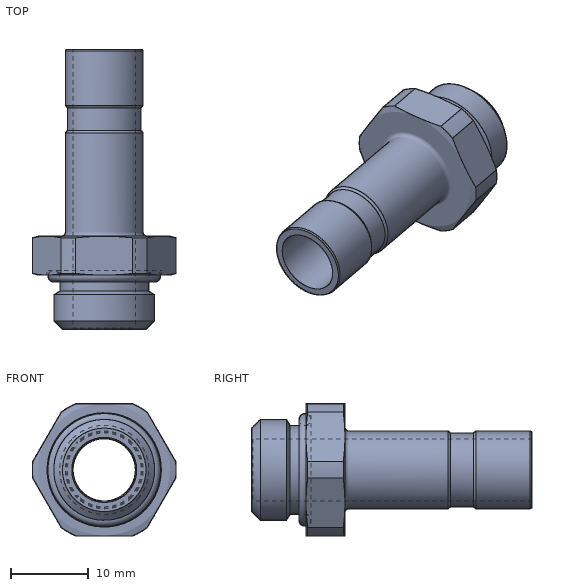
import cadquery as cq
import math

LENGTH = 36.0

BORE_RADIUS = 4.0
BORE_CHAMFER = 0.18

THREAD_RADIUS = 6.48
TIP_CHAMFER = 1.1
THREAD_END_Y = 4.45
NECK_RADIUS = 5.72
NECK_START_Y = 4.95

HEX_FLATS = 17.0
HEX_CORNER_RADIUS = 9.25
HEX_FRONT_Y = 7.0
HEX_WIDTH = 5.0
HEX_BACK_Y = HEX_FRONT_Y + HEX_WIDTH
HEX_FACE_RADIUS = HEX_FLATS / 2 - 0.05
HEX_CHAMFER_DEPTH = 0.2

TUBE_RADIUS = 5.0
TUBE_FILLET = 0.5
TUBE_END_RADIUS = 4.9
TUBE_END_CHAMFER_LENGTH = 0.2
GROOVE_RADIUS = 4.75
GROOVE_FRONT_Y = 25.25
GROOVE_BACK_Y = 28.8
GROOVE_BEVEL_LENGTH = 0.32

RING_SECTION_RADIUS = 0.75
RING_CENTRE_RADIUS = NECK_RADIUS + RING_SECTION_RADIUS
RING_CENTRE_Y = 6.85
RECESS_RADIUS = 7.35
RECESS_FLOOR_Y = RING_CENTRE_Y + RING_SECTION_RADIUS


def revolve_about_y(profile):
    """Turn a closed (radius, Y) profile around the Y axis."""
    return profile.close().revolve(360, (0, 0, 0), (0, 1, 0))


def make_hexagon():
    """Hexagon with rounded corners and a bevel on both end faces."""
    across_corners = HEX_FLATS / math.cos(math.pi / 6)
    prism = (
        cq.Workplane("XZ", origin=(0, HEX_BACK_Y, 0))
        .polygon(6, across_corners)
        .extrude(HEX_WIDTH)
    )
    envelope = revolve_about_y(
        cq.Workplane("XY")
        .moveTo(0, HEX_FRONT_Y)
        .lineTo(HEX_FACE_RADIUS, HEX_FRONT_Y)
        .lineTo(HEX_CORNER_RADIUS, HEX_FRONT_Y + HEX_CHAMFER_DEPTH)
        .lineTo(HEX_CORNER_RADIUS, HEX_BACK_Y - HEX_CHAMFER_DEPTH)
        .lineTo(HEX_FACE_RADIUS, HEX_BACK_Y)
        .lineTo(0, HEX_BACK_Y)
    )
    return prism.intersect(envelope)


def make_recess():
    """Annular pocket around the neck for the sealing ring."""
    return (
        cq.Workplane("XZ", origin=(0, RECESS_FLOOR_Y, 0))
        .circle(RECESS_RADIUS)
        .circle(NECK_RADIUS)
        .extrude(RECESS_FLOOR_Y - HEX_FRONT_Y)
    )


def make_turned_core():
    """Threaded end, neck and grooved tube as one solid of revolution."""
    fillet_end_y = HEX_BACK_Y + TUBE_FILLET
    arc_offset = TUBE_FILLET * (1 - math.sqrt(0.5))
    return revolve_about_y(
        cq.Workplane("XY")
        .moveTo(0, 0)
        .lineTo(THREAD_RADIUS - TIP_CHAMFER, 0)
        .lineTo(THREAD_RADIUS, TIP_CHAMFER)
        .lineTo(THREAD_RADIUS, THREAD_END_Y)
        .lineTo(NECK_RADIUS, NECK_START_Y)
        .lineTo(NECK_RADIUS, HEX_BACK_Y)
        .lineTo(TUBE_RADIUS + TUBE_FILLET, HEX_BACK_Y)
        .threePointArc(
            (TUBE_RADIUS + arc_offset, HEX_BACK_Y + arc_offset),
            (TUBE_RADIUS, fillet_end_y),
        )
        .lineTo(TUBE_RADIUS, GROOVE_FRONT_Y)
        .lineTo(GROOVE_RADIUS, GROOVE_FRONT_Y + GROOVE_BEVEL_LENGTH)
        .lineTo(GROOVE_RADIUS, GROOVE_BACK_Y - GROOVE_BEVEL_LENGTH)
        .lineTo(TUBE_RADIUS, GROOVE_BACK_Y)
        .lineTo(TUBE_RADIUS, LENGTH - TUBE_END_CHAMFER_LENGTH)
        .lineTo(TUBE_END_RADIUS, LENGTH)
        .lineTo(0, LENGTH)
    )


def make_bore():
    """Through bore with a small chamfer at the threaded end."""
    return revolve_about_y(
        cq.Workplane("XY")
        .moveTo(0, 0)
        .lineTo(BORE_RADIUS + BORE_CHAMFER, 0)
        .lineTo(BORE_RADIUS, BORE_CHAMFER)
        .lineTo(BORE_RADIUS, LENGTH)
        .lineTo(0, LENGTH)
    )


def make_fitting():
    hexagon = make_hexagon().cut(make_recess())
    return make_turned_core().union(hexagon).cut(make_bore())


def make_sealing_ring():
    section = cq.Workplane("XY").center(RING_CENTRE_RADIUS, RING_CENTRE_Y).circle(RING_SECTION_RADIUS)
    return section.revolve(360, (-RING_CENTRE_RADIUS, 0, 0), (-RING_CENTRE_RADIUS, 1, 0))


fitting = make_fitting()
sealing_ring = make_sealing_ring()

result = cq.Compound.makeCompound([fitting.val(), sealing_ring.val()])